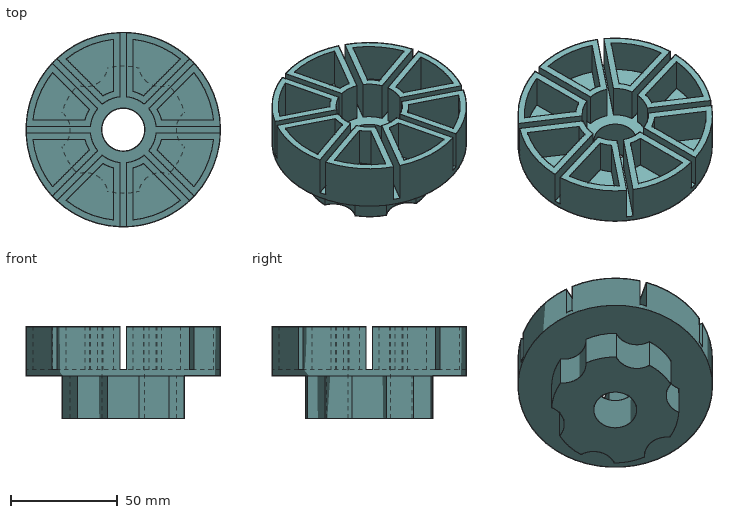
import cadquery as cq
import math

drum_radius = 45.5
drum_height = 23.0
hub_radius = 29.8
hub_height = 20.0
bore_radius = 10.0

sector_count = 8
slot_width = 3.0
slot_depth = 20.0
recess_radius = 15.5
wall = 3.0

scallop_count = 6
scallop_radius = 10.5
scallop_half_chord = 8.1

total_height = hub_height + drum_height
floor_level = total_height - slot_depth
sector_angle = 360 / sector_count

scallop_distance = (
    math.sqrt(hub_radius**2 - scallop_half_chord**2)
    + math.sqrt(scallop_radius**2 - scallop_half_chord**2)
)


def polar_point(radius, angle):
    """Point at the given radius and angle in radians."""
    return radius * math.cos(angle), radius * math.sin(angle)


def make_hub():
    """Hub below the drum, with evenly spaced scallops, the first one on the X axis."""
    hub = cq.Workplane("XY").circle(hub_radius).extrude(hub_height)
    scallops = (
        cq.Workplane("XY")
        .polarArray(scallop_distance, 0, 360, scallop_count)
        .circle(scallop_radius)
        .extrude(hub_height)
    )
    return hub.cut(scallops)


def make_slot():
    """Radial slot along +X, from the axis out through the rim."""
    return (
        cq.Workplane("XY")
        .workplane(offset=floor_level)
        .center(drum_radius / 2, 0)
        .rect(drum_radius, slot_width)
        .extrude(slot_depth)
    )


def make_pocket():
    """Hollow of the sector next to +X, leaving an even wall to the recess, the rim and both slots."""
    inner_radius = recess_radius + wall
    outer_radius = drum_radius - wall
    side_gap = slot_width / 2 + wall
    end_angle = math.radians(sector_angle)
    middle_angle = end_angle / 2

    inner_trim = math.asin(side_gap / inner_radius)
    outer_trim = math.asin(side_gap / outer_radius)
    return (
        cq.Workplane("XY")
        .workplane(offset=floor_level)
        .moveTo(*polar_point(inner_radius, inner_trim))
        .lineTo(*polar_point(outer_radius, outer_trim))
        .threePointArc(
            polar_point(outer_radius, middle_angle),
            polar_point(outer_radius, end_angle - outer_trim),
        )
        .lineTo(*polar_point(inner_radius, end_angle - inner_trim))
        .threePointArc(
            polar_point(inner_radius, middle_angle),
            polar_point(inner_radius, inner_trim),
        )
        .close()
        .extrude(slot_depth)
    )


def make_drum():
    """Drum with its central recess, radial slots and sector pockets, all open at the top."""
    drum = cq.Workplane("XY").workplane(offset=hub_height).circle(drum_radius).extrude(drum_height)
    recess = cq.Workplane("XY").workplane(offset=floor_level).circle(recess_radius).extrude(slot_depth)
    drum = drum.cut(recess)

    slot = make_slot()
    pocket = make_pocket()
    for index in range(sector_count):
        angle = index * sector_angle
        for cutter in (slot, pocket):
            drum = drum.cut(cutter.rotate((0, 0, 0), (0, 0, 1), angle))
    return drum


bore = cq.Workplane("XY").circle(bore_radius).extrude(total_height)
result = make_hub().union(make_drum()).cut(bore)